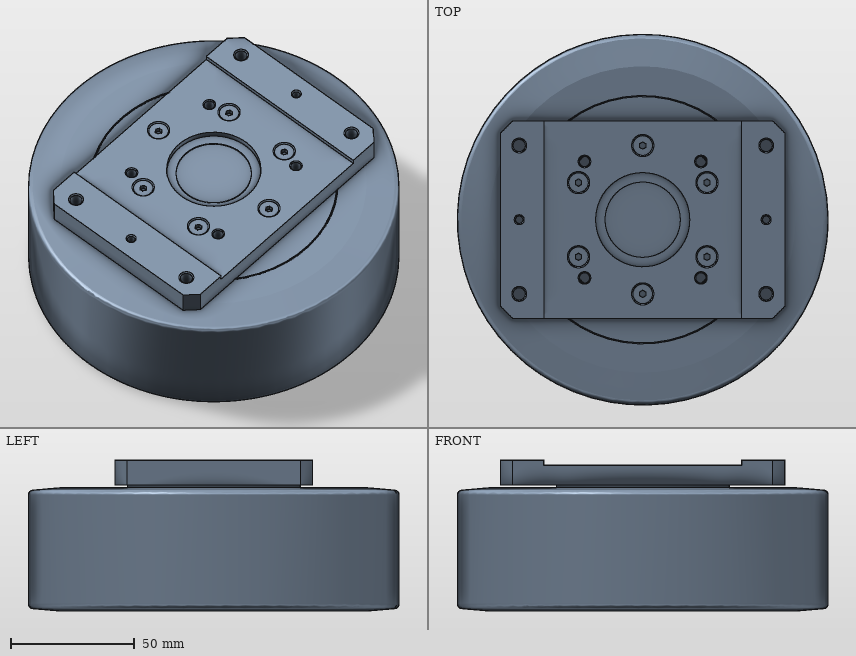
import cadquery as cq
import math

body_diameter = 150.0
body_height = 50.0
end_flat_diameter = 123.9
crown_angle = 5.0
rim_fillet = 2.0

groove_diameter = 100.5
groove_width = 0.5
groove_depth = 1.0

neck_diameter = 70.0
neck_height = 1.0

plate_length = 115.0
plate_width = 80.0
plate_height = 10.0
plate_chamfer = 5.0
channel_width = 80.0
channel_depth = 2.0

recess_diameter = 38.1
recess_depth = 2.5
inner_recess_diameter = 30.5
inner_recess_depth = 0.5

rail_hole_x = 50.0
rail_hole_y = 30.0
rail_hole_diameter = 5.0
rail_hole_mouth = 6.0
dowel_diameter = 3.0
dowel_mouth = 4.0
dowel_depth = 6.0
tapped_hole_offset = 23.5
tapped_hole_diameter = 4.2
tapped_hole_mouth = 5.1

screw_count = 6
screw_circle_radius = 30.0
screw_head_diameter = 8.0
screw_seat_mouth = 9.0
socket_across_flats = 2.5
socket_depth = 2.0

plate_bottom = body_height + neck_height
plate_top = plate_bottom + plate_height
channel_floor = plate_top - channel_depth
recess_floor = channel_floor - recess_depth


def disc(diameter, bottom, height):
    """Upright cylinder centred on the Z axis."""
    return cq.Workplane("XY").workplane(offset=bottom).circle(diameter / 2).extrude(height)


def make_body():
    outer_radius = body_diameter / 2
    flat_radius = end_flat_diameter / 2
    crown_drop = (outer_radius - flat_radius) * math.tan(math.radians(crown_angle))
    profile = [
        (0, 0),
        (flat_radius, 0),
        (outer_radius, crown_drop),
        (outer_radius, body_height - crown_drop),
        (flat_radius, body_height),
        (0, body_height),
    ]
    body = cq.Workplane("XZ").polyline(profile).close().revolve(360, (0, 0), (0, 1))
    rim_box = cq.selectors.BoxSelector(
        (-body_diameter, -body_diameter, crown_drop / 2),
        (body_diameter, body_diameter, body_height - crown_drop / 2),
    )
    body = body.edges("%CIRCLE").edges(rim_box).fillet(rim_fillet)

    groove_bottom = body_height - groove_depth
    groove = disc(groove_diameter, groove_bottom, groove_depth)
    groove = groove.cut(disc(groove_diameter - 2 * groove_width, groove_bottom, groove_depth))
    return body.cut(groove)


def make_plate():
    plate = (
        cq.Workplane("XY")
        .workplane(offset=plate_bottom)
        .rect(plate_length, plate_width)
        .extrude(plate_height)
        .edges("|Z")
        .chamfer(plate_chamfer)
    )
    channel = (
        cq.Workplane("XY")
        .workplane(offset=channel_floor)
        .rect(channel_width, plate_width)
        .extrude(channel_depth)
    )
    recess = disc(recess_diameter, recess_floor, recess_depth)
    inner_recess = disc(inner_recess_diameter, recess_floor - inner_recess_depth, inner_recess_depth)
    return plate.cut(channel).cut(recess).cut(inner_recess)


def mouth_cone(small_diameter, mouth_diameter, top):
    """45 degree cone that widens upward to mouth_diameter at height top."""
    depth = (mouth_diameter - small_diameter) / 2
    cone = cq.Solid.makeCone(small_diameter / 2, mouth_diameter / 2, depth)
    return cq.Workplane(cone.translate(cq.Vector(0, 0, top - depth)))


def chamfered_hole(diameter, mouth_diameter, depth, top):
    """Cutter for a hole going down from top, with a chamfer at its mouth."""
    return disc(diameter, top - depth, depth).union(mouth_cone(diameter, mouth_diameter, top))


def cut_at(solid, cutter, points):
    for x, y in points:
        solid = solid.cut(cutter.translate((x, y, 0)))
    return solid


def corners(x, y):
    return [(sx * x, sy * y) for sx in (-1, 1) for sy in (-1, 1)]


def cut_rail_holes(plate):
    through_hole = chamfered_hole(rail_hole_diameter, rail_hole_mouth, plate_height, plate_top)
    dowel_hole = chamfered_hole(dowel_diameter, dowel_mouth, dowel_depth, plate_top)
    plate = cut_at(plate, through_hole, corners(rail_hole_x, rail_hole_y))
    return cut_at(plate, dowel_hole, [(-rail_hole_x, 0), (rail_hole_x, 0)])


def cut_tapped_holes(plate):
    depth = channel_floor - plate_bottom
    hole = chamfered_hole(tapped_hole_diameter, tapped_hole_mouth, depth, channel_floor)
    return cut_at(plate, hole, corners(tapped_hole_offset, tapped_hole_offset))


def cut_screw_heads(plate):
    """Chamfered rim around each head, and the hexagon socket in it."""
    rim_depth = (screw_seat_mouth - screw_head_diameter) / 2
    head_top = channel_floor - rim_depth
    socket_corner_diameter = socket_across_flats / math.cos(math.pi / 6)
    seat = mouth_cone(screw_head_diameter, screw_seat_mouth, channel_floor)
    socket = (
        cq.Workplane("XY")
        .workplane(offset=head_top - socket_depth)
        .polygon(6, socket_corner_diameter)
        .extrude(socket_depth)
        .rotate((0, 0, 0), (0, 0, 1), 90)
    )
    angles = [math.radians(90 + 360 * i / screw_count) for i in range(screw_count)]
    centres = [(screw_circle_radius * math.cos(a), screw_circle_radius * math.sin(a)) for a in angles]
    plate = cut_at(plate, seat, centres)
    return cut_at(plate, socket, centres)


body = make_body()
neck = disc(neck_diameter, body_height, neck_height)
plate = cut_screw_heads(cut_tapped_holes(cut_rail_holes(make_plate())))
result = body.union(neck).union(plate)